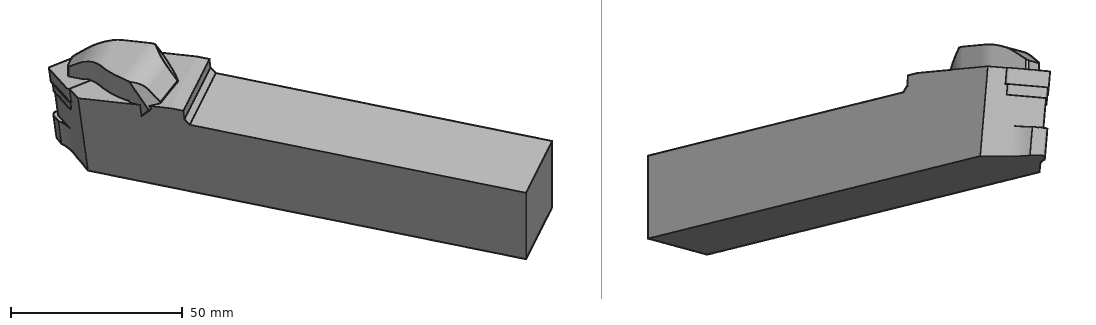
import cadquery as cq
import math


length = 149.7
width = 25.0
shank_height = width
half_width = width / 2

tilt = 6.6
crest_start = 41.2
crest_end = 45.0
crest_back_foot = 45.4
ramp_top = 26.6
point_apex = 0.5
point_radius = 1.0
point_depth = 44.9

insert_side = 12.7
insert_radius = 0.7
insert_thickness = 4.8
seat_side = 12.3
seat_radius = 1.27
seat_thickness = 3.1

toe_apex = -1.2
toe_radius = 1.5
toe_drop = 16.9
toe_flat_end = 3.1
toe_half_width = 6.0
toe_flare_turn = 25.0

nose_chamfer_left = [(6.5, 2.0), (7.0, 2.5)]
nose_chamfer_right = [(6.5, -2.4), (7.0, -3.0)]
nose_right_end = (10.5, -3.5)
waist = (19.0, -7.5)
waist_bulge = (23.2, -10.0)
hip = (27.7, -11.8)
side_overhang = 0.6
side_reach = half_width + side_overhang
hip_corner = (34.9, -side_reach)
tail_right = (37.4, -10.8)
tail_left = (39.4, 0.1)
shoulder_bulge = (35.0, 4.6)
shoulder_start = (29.2, 6.3)
back_start = (21.0, 6.3)
nose_left_end = (17.2, 5.7)

clamp_height = 8.2
flat_start = 19.9
nose_curve_start = (11.7, 6.1)
nose_top_break = (7.3, 3.6)
nose_front = (4.5, 2.0)
relief_height = 0.6
relief_start = 11.7
relief_front_slant = 1.5
relief_end = 28.7
relief_back_slant = 0.5
foot_start = 32.0
foot_depth = 4.0
foot_end = 36.2

tail_skew = 10.6
brow_start = 28.0
brow_end = (35.6, 4.8)
tail_end = 39.4

right_facet = [(28.3, -12.0, 36.0), (34.9, -side_reach, 27.5), (36.8, -11.0, 29.8)]
left_facet = [(31.6, 5.2, 35.9), (35.6, 1.0, 33.8), (39.2, 0.1, 30.0)]

front_overrun = 7.5
clamp_span = 59.9

slope = math.tan(math.radians(tilt))
crest_height = shank_height + crest_start * slope


def tilted_plane(turn=0.0):
    """Plane of the head's top, with its X axis turned about the plane's normal."""
    lean = math.radians(tilt)
    plane = cq.Plane(
        origin=(0, 0, shank_height),
        xDir=(math.cos(lean), 0, math.sin(lean)),
        normal=(-math.sin(lean), 0, math.cos(lean)),
    )
    return plane.rotated((0, 0, turn))


def upright_tilted_plane(turn=0.0):
    """Lengthwise plane: X along the head's top, Y square out of that top."""
    return tilted_plane(turn).rotated((90, 0, 0))


head_plane = tilted_plane()
corner_trim = math.sqrt(2) - 1
insert_center = insert_side / math.sqrt(2) - insert_radius * corner_trim


def square_plate(side, radius, thickness, depth):
    """Corner-first square plate with its upper face at the given depth below the head's top."""
    return (
        cq.Workplane(head_plane)
        .workplane(offset=-depth)
        .center(insert_center, 0)
        .transformed(rotate=(0, 0, 45))
        .rect(side, side)
        .extrude(-thickness)
        .edges(cq.selectors.ParallelDirSelector(head_plane.zDir))
        .fillet(radius)
    )


def make_insert():
    """Square insert, its upper face flush with the head's top."""
    return square_plate(insert_side, insert_radius, insert_thickness, 0)


def make_shank_and_head():
    """Square bar with a raised, back-leaning head at the front, cut to a point."""
    ramp_end = crest_back_foot + ramp_top - shank_height
    front = -front_overrun
    side_profile = (
        cq.Workplane("XZ")
        .moveTo(front, 0)
        .lineTo(length, 0)
        .lineTo(length, shank_height)
        .lineTo(ramp_end, shank_height)
        .lineTo(crest_back_foot, ramp_top)
        .lineTo(crest_end, crest_height)
        .lineTo(crest_start, crest_height)
        .lineTo(front, shank_height + front * slope)
        .close()
        .extrude(half_width, both=True)
    )
    return side_profile.intersect(make_point_envelope())


def make_point_envelope():
    """Right-angled point, square to the head's top, that trims the front of the bar."""
    flare = 2 * width
    back = 2 * length
    apex = head_plane.toWorldCoords((point_apex, 0, 0)).toTuple()
    return (
        cq.Workplane(head_plane)
        .workplane(offset=-point_depth)
        .moveTo(point_apex, 0)
        .lineTo(point_apex + flare, -flare)
        .lineTo(back, -flare)
        .lineTo(back, flare)
        .lineTo(point_apex + flare, flare)
        .close()
        .extrude(2 * point_depth)
        .edges(cq.selectors.NearestToPointSelector(apex))
        .fillet(point_radius)
    )


def make_toe():
    """Rounded boss that widens the foot of the point and flares into its flanks."""
    tangent_y = toe_radius * math.sin(math.radians(45))
    nose_x = toe_apex + toe_radius * corner_trim
    flat_x = toe_apex + toe_flat_end
    flank_x = point_apex + toe_half_width
    flare_run = flank_x - flat_x
    flare_rise = toe_half_width - toe_flat_end
    flare_bow = math.tan(math.radians(toe_flare_turn) / 4) / 2
    arc_x = (flat_x + flank_x) / 2 + flare_bow * flare_rise
    arc_y = (toe_flat_end + toe_half_width) / 2 - flare_bow * flare_run
    back_x = flank_x + toe_half_width
    toe = (
        cq.Workplane(head_plane)
        .workplane(offset=-toe_drop)
        .moveTo(toe_apex + tangent_y, -tangent_y)
        .threePointArc((nose_x, 0), (toe_apex + tangent_y, tangent_y))
        .lineTo(flat_x, toe_flat_end)
        .threePointArc((arc_x, arc_y), (flank_x, toe_half_width))
        .lineTo(back_x, toe_half_width)
        .lineTo(back_x, -toe_half_width)
        .lineTo(flank_x, -toe_half_width)
        .threePointArc((arc_x, -arc_y), (flat_x, -toe_flat_end))
        .close()
        .extrude(-point_depth)
    )
    above_floor = cq.Workplane("XY").rect(length, length).extrude(shank_height)
    return toe.intersect(above_floor)


def make_clamp_plan():
    """Vertical prism with the clamp's outline: narrow nose, bulging waist, skewed tail."""
    return (
        cq.Workplane("XY")
        .moveTo(*nose_chamfer_right[0])
        .lineTo(*nose_chamfer_right[1])
        .lineTo(*nose_right_end)
        .tangentArcPoint(waist, relative=False)
        .threePointArc(waist_bulge, hip)
        .lineTo(*hip_corner)
        .lineTo(*tail_right)
        .lineTo(*tail_left)
        .threePointArc(shoulder_bulge, shoulder_start)
        .lineTo(*back_start)
        .tangentArcPoint(nose_left_end, relative=False)
        .lineTo(*nose_chamfer_left[1])
        .lineTo(*nose_chamfer_left[0])
        .close()
        .extrude(clamp_span)
    )


def make_clamp_side():
    """Crosswise prism with the clamp's side shape: curved nose, flat back, relief and foot below."""
    return (
        cq.Workplane(upright_tilted_plane())
        .moveTo(nose_front[0], 0)
        .lineTo(relief_start, 0)
        .lineTo(relief_start + relief_front_slant, relief_height)
        .lineTo(relief_end - relief_back_slant, relief_height)
        .lineTo(relief_end, 0)
        .lineTo(foot_start, 0)
        .lineTo(foot_start, -foot_depth)
        .lineTo(foot_end, 0)
        .lineTo(clamp_span, 0)
        .lineTo(clamp_span, clamp_height)
        .lineTo(flat_start, clamp_height)
        .tangentArcPoint(nose_curve_start, relative=False)
        .lineTo(*nose_top_break)
        .lineTo(*nose_front)
        .close()
        .extrude(width, both=True)
    )


def make_tail_waste():
    """Stock above the clamp's tail: a rounded brow, then a straight fall to the head's top."""
    waste_start = flat_start
    waste_top = 2 * clamp_height
    return (
        cq.Workplane(upright_tilted_plane(-tail_skew))
        .moveTo(waste_start, clamp_height)
        .lineTo(brow_start, clamp_height)
        .tangentArcPoint(brow_end, relative=False)
        .lineTo(tail_end, 0)
        .lineTo(clamp_span, 0)
        .lineTo(clamp_span, waste_top)
        .lineTo(waste_start, waste_top)
        .close()
        .extrude(width, both=True)
    )


def facet_waste(start, middle, end):
    """Slab lying on the plane through three points, on the side they circle anticlockwise."""
    origin = cq.Vector(*start)
    along = cq.Vector(*middle) - origin
    across = cq.Vector(*end) - origin
    facet = cq.Plane(origin=origin, xDir=along, normal=along.cross(across))
    return cq.Workplane(facet).rect(width, width).extrude(width)


def make_clamp():
    """Clamp with a curved nose, a skewed falling tail, two tail facets and a foot."""
    return (
        make_clamp_plan()
        .intersect(make_clamp_side())
        .cut(make_tail_waste())
        .cut(facet_waste(*right_facet))
        .cut(facet_waste(*left_facet))
    )


def make_holder(insert):
    """Shank, head, seat, toe and clamp as one solid, with a pocket that fits the insert."""
    seat = square_plate(seat_side, seat_radius, seat_thickness, insert_thickness)
    blank = make_shank_and_head().union(seat).union(make_toe()).union(make_clamp())
    return blank.cut(insert).solids()


insert = make_insert()
holder = make_holder(insert)
result = cq.Compound.makeCompound([holder.val(), insert.val()])